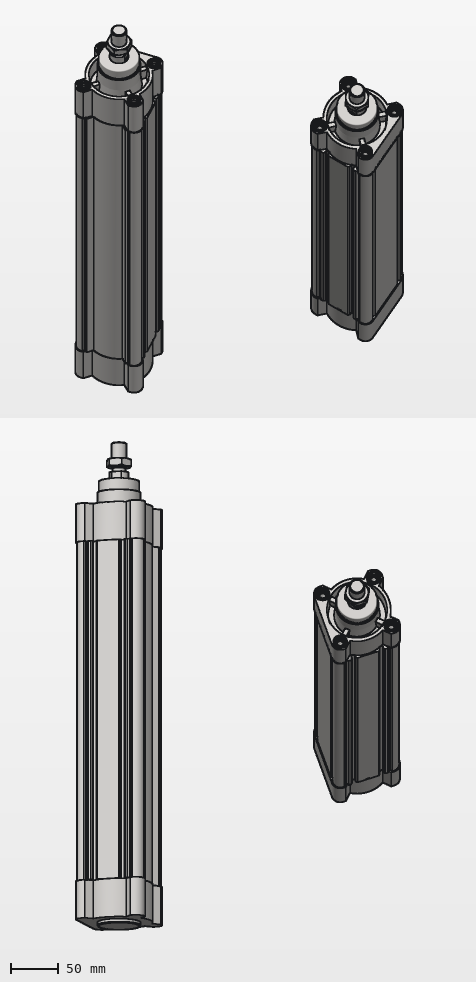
import cadquery as cq
import math

TOTAL_HEIGHT = 513.0

SPIGOT_TOP_Z = 4.0
CAP_HEIGHT = 40.5
UPPER_CAP_TOP_Z = 445.0
TUBE_BOTTOM_Z = SPIGOT_TOP_Z + CAP_HEIGHT
TUBE_TOP_Z = UPPER_CAP_TOP_Z - CAP_HEIGHT
COLLAR_TOP_Z = 460.0
RING_TOP_Z = 472.5
FLATS_BOTTOM_Z = 473.5
ROD_SHOULDER_Z = 482.0
THREAD_BOTTOM_Z = 486.0
NUT_BOTTOM_Z = 487.5
NUT_HEIGHT = 8.0

CAP_HALF_WIDTH = 37.5
CAP_BARREL_RADIUS = 35.5
LUG_ARC_START = 28.0
LUG_FLAT_END = 25.0
SPIGOT_DIAMETER = 45.0
SPIGOT_CHAMFER = 1.0

TUBE_HALF_WIDTH = 36.5
TUBE_BARREL_RADIUS = 35.0
TUBE_FACE_HALF_WIDTH = 21.5
TUBE_GROOVE_DEPTH = 2.0
TUBE_GROOVE_LUG_EDGE = 26.5
TUBE_GROOVE_LUG_RUN = 1.5
SENSOR_SLOT_OFFSET = 15.5
SENSOR_SLOT_WIDTH = 4.0
SENSOR_SLOT_DEPTH = 4.5
SENSOR_SLOT_LIP = 1.5

SCREW_OFFSET = 28.0
COUNTERBORE_DIAMETER = 14.5
COUNTERBORE_DEPTH = 3.0
SCREW_HEAD_DIAMETER = 12.0
SCREW_HEAD_HEIGHT = 2.0
SCREW_THREAD_DIAMETER = 8.0
SCREW_THREAD_DEPTH = 3.0
SCREW_CORE_DIAMETER = 6.5
SCREW_CORE_DEPTH = 6.0

RECESS_DIAMETER = 63.0
RECESS_DEPTH = 15.5
RECESS_DRAFT = 1.5
RIB_WIDTH = 5.0
RIB_DROP = 3.0
RIB_COUNT = 4

RING_DIAMETER = 42.5
RING_FILLET = 1.0

ROD_DIAMETER = 20.0
ROD_FLATS_WIDTH = 17.0
ROD_BOTTOM_Z = TUBE_TOP_Z
THREAD_DIAMETER = 16.0
THREAD_CHAMFER = 1.0
UNDERCUT_DIAMETER = 14.0
UNDERCUT_FILLET = 1.0

NUT_SIDES = 6
NUT_ACROSS_FLATS = 23.5
NUT_CHAMFER_ANGLE = 30.0


def cylinder(diameter, bottom_z, top_z):
    return cq.Workplane("XY").workplane(offset=bottom_z).circle(diameter / 2).extrude(top_z - bottom_z)


def corner_points(offset):
    return [(x, y) for x in (-offset, offset) for y in (-offset, offset)]


def rounded_square(half_width, arc_start, bottom_z, height):
    """Square block whose corner arcs begin at arc_start from the centre lines."""
    side = 2 * half_width
    block = cq.Workplane("XY").workplane(offset=bottom_z).rect(side, side).extrude(height)
    return block.edges("|Z").fillet(half_width - arc_start)


def side_relief(half_width, flat_end, barrel_radius, bottom_z, height):
    """Cutter that leaves a round barrel between two 45 degree lug flanks on the -Y side."""
    flank_offset = half_width - flat_end
    meeting_angle = math.radians(45) + math.asin(flank_offset / (barrel_radius * math.sqrt(2)))
    meet_x = barrel_radius * math.cos(meeting_angle)
    meet_y = -barrel_radius * math.sin(meeting_angle)
    return (
        cq.Workplane("XY")
        .workplane(offset=bottom_z)
        .moveTo(-flat_end, -half_width)
        .lineTo(-meet_x, meet_y)
        .threePointArc((0, -barrel_radius), (meet_x, meet_y))
        .lineTo(flat_end, -half_width)
        .close()
        .extrude(height)
    )


def make_cap(bottom_z):
    """Corner lugs round a barrel, with the +Y side left as a full flat wall."""
    cap = rounded_square(CAP_HALF_WIDTH, LUG_ARC_START, bottom_z, CAP_HEIGHT)
    relief = side_relief(CAP_HALF_WIDTH, LUG_FLAT_END, CAP_BARREL_RADIUS, bottom_z, CAP_HEIGHT)
    for angle in (-90, 0, 90):
        cap = cap.cut(relief.rotate((0, 0, 0), (0, 0, 1), angle))
    return cap


def make_tube():
    """Extruded tube with a round -Y side, plain flat +Y side and slotted X sides."""
    height = TUBE_TOP_Z - TUBE_BOTTOM_Z
    tube = rounded_square(TUBE_HALF_WIDTH, LUG_ARC_START, TUBE_BOTTOM_Z, height)

    tube = tube.cut(
        side_relief(TUBE_HALF_WIDTH, TUBE_FACE_HALF_WIDTH, TUBE_BARREL_RADIUS, TUBE_BOTTOM_Z, height)
    )

    groove_floor_y = TUBE_GROOVE_DEPTH - TUBE_HALF_WIDTH
    groove = (
        cq.Workplane("XY")
        .workplane(offset=TUBE_BOTTOM_Z)
        .polyline([
            (TUBE_FACE_HALF_WIDTH, -TUBE_HALF_WIDTH),
            (TUBE_FACE_HALF_WIDTH + TUBE_GROOVE_DEPTH, groove_floor_y),
            (TUBE_GROOVE_LUG_EDGE - TUBE_GROOVE_LUG_RUN, groove_floor_y),
            (TUBE_GROOVE_LUG_EDGE, -TUBE_HALF_WIDTH),
        ])
        .close()
        .extrude(height)
    )
    grooves = groove.union(groove.mirror("YZ"))
    for angle in (0, 90, 180, 270):
        tube = tube.cut(grooves.rotate((0, 0, 0), (0, 0, 1), angle))

    for x_side in (-1, 1):
        for y_side in (-1, 1):
            tube = tube.cut(sensor_slot(x_side, y_side, height))
    return tube


def sensor_slot(x_side, y_side, height):
    """Slot cutter with chamfered lips, running the length of the tube."""
    half_slot = SENSOR_SLOT_WIDTH / 2
    half_mouth = half_slot + SENSOR_SLOT_LIP
    face_x = x_side * TUBE_HALF_WIDTH
    lip_x = x_side * (TUBE_HALF_WIDTH - SENSOR_SLOT_LIP)
    floor_x = x_side * (TUBE_HALF_WIDTH - SENSOR_SLOT_DEPTH)
    return (
        cq.Workplane("XY")
        .workplane(offset=TUBE_BOTTOM_Z)
        .polyline([
            (face_x, -half_mouth),
            (lip_x, -half_slot),
            (floor_x, -half_slot),
            (floor_x, half_slot),
            (lip_x, half_slot),
            (face_x, half_mouth),
        ])
        .close()
        .extrude(height)
        .translate((0, y_side * SENSOR_SLOT_OFFSET, 0))
    )


def make_recess():
    """Ring-shaped cutter with drafted walls, interrupted by radial ribs on the diagonals."""
    floor_z = UPPER_CAP_TOP_Z - RECESS_DEPTH
    inner = SPIGOT_DIAMETER / 2
    outer = RECESS_DIAMETER / 2
    ring = (
        cq.Workplane("XZ")
        .polyline([
            (inner, UPPER_CAP_TOP_Z),
            (inner + RECESS_DRAFT, floor_z),
            (outer - RECESS_DRAFT, floor_z),
            (outer, UPPER_CAP_TOP_Z),
        ])
        .close()
        .revolve(360, (0, 0, 0), (0, 1, 0))
    )
    for i in range(RIB_COUNT):
        rib = (
            cq.Workplane("XY")
            .box(outer, RIB_WIDTH, RECESS_DEPTH - RIB_DROP, centered=(False, True, False))
            .translate((0, 0, floor_z))
            .rotate((0, 0, 0), (0, 0, 1), (i + 0.5) * 360 / RIB_COUNT)
        )
        ring = ring.cut(rib)
    return ring


def make_housing():
    """Tube, both caps, lower spigot and the stepped collar, bored for the rod."""
    body = make_tube().union(make_cap(SPIGOT_TOP_Z)).union(make_cap(TUBE_TOP_Z))
    body = body.cut(make_recess())
    body = body.union(cylinder(SPIGOT_DIAMETER, 0, SPIGOT_TOP_Z).faces("<Z").chamfer(SPIGOT_CHAMFER))
    body = body.union(cylinder(SPIGOT_DIAMETER, UPPER_CAP_TOP_Z, COLLAR_TOP_Z))
    ring = cylinder(RING_DIAMETER, COLLAR_TOP_Z, RING_TOP_Z).edges().fillet(RING_FILLET)
    body = body.union(ring)
    body = body.cut(cylinder(ROD_DIAMETER, ROD_BOTTOM_Z, RING_TOP_Z))

    for x, y in corner_points(SCREW_OFFSET):
        body = add_hollow_screw(body, x, y)
    return body


def add_hollow_screw(body, x, y):
    """Counterbore holding a low screw head with a stepped blind bore and a conical drill tip."""
    counterbore_z = UPPER_CAP_TOP_Z - COUNTERBORE_DEPTH
    head_z = counterbore_z + SCREW_HEAD_HEIGHT
    thread_z = head_z - SCREW_THREAD_DEPTH
    core_z = head_z - SCREW_CORE_DEPTH
    core_radius = SCREW_CORE_DIAMETER / 2
    tip = cq.Solid.makeCone(core_radius, 0, core_radius, pnt=(0, 0, core_z), dir=(0, 0, -1))

    counterbore = cylinder(COUNTERBORE_DIAMETER, counterbore_z, UPPER_CAP_TOP_Z)
    bore = (
        cylinder(SCREW_THREAD_DIAMETER, thread_z, UPPER_CAP_TOP_Z)
        .union(cylinder(SCREW_CORE_DIAMETER, core_z, thread_z))
        .union(cq.Workplane(obj=tip))
    )
    cutter = counterbore.cut(cylinder(SCREW_HEAD_DIAMETER, counterbore_z, head_z)).union(bore)
    return body.cut(cutter.translate((x, y, 0)))


def make_rod():
    """Piston rod with two wrench flats, an undercut and a plain thread stud."""
    rod = cylinder(ROD_DIAMETER, ROD_BOTTOM_Z, ROD_SHOULDER_Z)
    flats_height = ROD_SHOULDER_Z - FLATS_BOTTOM_Z
    for side in (-1, 1):
        flat_cut = (
            cq.Workplane("XY")
            .box(ROD_DIAMETER, ROD_DIAMETER, flats_height, centered=(True, True, False))
            .translate((side * (ROD_FLATS_WIDTH + ROD_DIAMETER) / 2, 0, FLATS_BOTTOM_Z))
        )
        rod = rod.cut(flat_cut)

    undercut = cylinder(UNDERCUT_DIAMETER, ROD_SHOULDER_Z, THREAD_BOTTOM_Z)
    rod = rod.union(undercut)
    shoulder_corner = cq.selectors.BoxSelector(
        (-THREAD_DIAMETER, -THREAD_DIAMETER, ROD_SHOULDER_Z - UNDERCUT_FILLET),
        (THREAD_DIAMETER, THREAD_DIAMETER, ROD_SHOULDER_Z + UNDERCUT_FILLET),
    )
    rod = rod.edges(shoulder_corner).edges(cq.selectors.RadiusNthSelector(0)).fillet(UNDERCUT_FILLET)

    thread = cylinder(THREAD_DIAMETER, THREAD_BOTTOM_Z, TOTAL_HEIGHT).edges().chamfer(THREAD_CHAMFER)
    return rod.union(thread)


def make_nut():
    """Hexagon lock nut on the rod thread, with two corners on the Y axis."""
    corner_diameter = NUT_ACROSS_FLATS / math.cos(math.pi / NUT_SIDES)
    nut = (
        cq.Workplane("XY")
        .workplane(offset=NUT_BOTTOM_Z)
        .polygon(NUT_SIDES, corner_diameter)
        .extrude(NUT_HEIGHT)
        .rotate((0, 0, 0), (0, 0, 1), 180 / NUT_SIDES)
    )
    flat_radius = NUT_ACROSS_FLATS / 2
    corner_radius = corner_diameter / 2
    clip = (corner_radius - flat_radius) * math.tan(math.radians(NUT_CHAMFER_ANGLE))
    envelope = cylinder(corner_diameter, NUT_BOTTOM_Z, NUT_BOTTOM_Z + NUT_HEIGHT)
    envelope = envelope.edges().chamfer(clip, corner_radius - flat_radius)
    return nut.intersect(envelope).cut(cylinder(THREAD_DIAMETER, NUT_BOTTOM_Z, NUT_BOTTOM_Z + NUT_HEIGHT))


housing = make_housing()
rod = make_rod()
nut = make_nut()

result = cq.Compound.makeCompound([housing.val(), rod.val(), nut.val()])